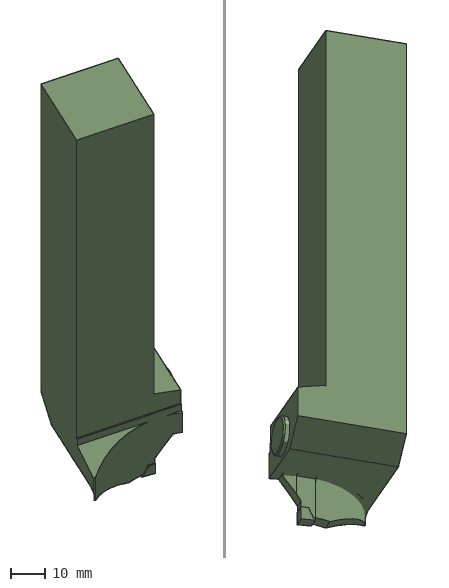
import cadquery as cq

shank_width = 25.0
total_height = 152.4

head_width = 36.7
head_depth = 33.7
head_bottom = 14.2
head_corner = 7.3
arm_tip_top = 19.7
arm_root_top = 22.7
arm_step_x = 25.5
arm_step_top = 25.5
rear_tip_top = 31.1
rear_root_top = 33.2

hollow_radius = 33.5
hollow_wall_x = 25.3
hollow_center_y = 25.9

blade_x = 21.6
blade_radius = 25.1
blade_center_y = 23.2
blade_front_z = 10.2
blade_base_z = 1.0
blade_base_y = 16.0
gullet_low_z = 6.0
blade_rear_y = 31.0
blade_root_fillet = 1.4
flat_x = 22.0
flat_rear_y = 26.7

insert_width = 3.8
insert_front_y = 20.7
insert_face_y = 25.1
insert_relief = 0.3
insert_height = 4.1
insert_seat_y = 22.9
insert_toe_y = 21.3

boss_diameter = 11.9
boss_height = 1.8
boss_chamfer = 0.5
boss_x = 13.3
boss_z = 21.5


def extrude_along_x(points, start, end):
    """Prism with a (Y, Z) outline between two X positions."""
    return cq.Workplane("YZ", origin=(start, 0, 0)).polyline(points).close().extrude(end - start)


def vertical_cylinder(radius, x, y):
    """Cylinder over the full height of the part."""
    return cq.Workplane("XY").center(x, y).circle(radius).extrude(total_height)


def make_hollow():
    return vertical_cylinder(hollow_radius, hollow_wall_x + hollow_radius, hollow_center_y)


def make_shank():
    return cq.Workplane("XY", origin=(0, 0, rear_root_top)).rect(
        shank_width, shank_width, centered=False
    ).extrude(total_height - rear_root_top)


def make_head():
    """Shank foot with a sideways arm and a rear shelf, both with sloping tops."""
    front_outline = (
        cq.Workplane("XZ")
        .moveTo(0, head_bottom + head_corner)
        .lineTo(head_corner, head_bottom)
        .lineTo(head_width, head_bottom)
        .lineTo(head_width, arm_tip_top)
        .lineTo(arm_step_x, arm_root_top)
        .lineTo(arm_step_x, arm_step_top)
        .lineTo(shank_width, arm_step_top)
        .lineTo(shank_width, rear_root_top)
        .lineTo(0, rear_root_top)
        .close()
        .extrude(-head_depth)
    )
    side_points = [
        (0, head_bottom),
        (head_depth, head_bottom),
        (head_depth, rear_tip_top),
        (shank_width, rear_root_top),
        (0, rear_root_top),
    ]
    side_outline = extrude_along_x(side_points, 0, head_width)
    return front_outline.intersect(side_outline).cut(make_hollow())


def make_blade():
    """Arc-shaped blade, filleted under a ceiling slab and trimmed to its side outline."""
    blade_center_x = blade_x + blade_radius
    root = (
        cq.Workplane("XY")
        .center(blade_center_x, blade_center_y)
        .circle(blade_radius)
        .extrude(head_bottom)
    )
    ceiling_size = 4 * blade_radius
    ceiling_thickness = blade_root_fillet
    ceiling = (
        cq.Workplane("XY", origin=(blade_center_x, blade_center_y, head_bottom))
        .rect(ceiling_size, ceiling_size)
        .extrude(ceiling_thickness)
    )
    root = root.union(ceiling).faces("<Z[1]").edges("%CIRCLE").fillet(blade_root_fillet)
    side_points = [
        (0, head_bottom),
        (0, blade_front_z),
        (blade_base_y, blade_base_z),
        (insert_face_y, blade_base_z),
        (insert_face_y, gullet_low_z),
        (blade_rear_y, head_bottom),
    ]
    side_outline = extrude_along_x(side_points, blade_x - blade_root_fillet, head_width)
    flat_depth = flat_rear_y - insert_front_y
    flat_cut = cq.Workplane("XY", origin=(0, insert_front_y, 0)).rect(
        flat_x, flat_depth, centered=False
    ).extrude(head_bottom)
    return root.intersect(side_outline).cut(make_hollow()).cut(flat_cut)


def make_boss():
    return (
        cq.Workplane("XZ", origin=(boss_x, head_depth, boss_z))
        .circle(boss_diameter / 2)
        .extrude(-boss_height)
        .faces(">Y")
        .chamfer(boss_chamfer)
    )


def make_insert():
    points = [
        (insert_face_y, 0),
        (insert_face_y, insert_height),
        (insert_seat_y, insert_height),
        (insert_toe_y, blade_base_z),
        (insert_front_y, blade_base_z),
        (insert_front_y, insert_relief),
    ]
    return extrude_along_x(points, flat_x, flat_x + insert_width)


insert = make_insert()
holder = make_shank().union(make_head()).union(make_blade()).union(make_boss()).cut(insert)

result = cq.Compound.makeCompound([holder.solids().val(), insert.val()])